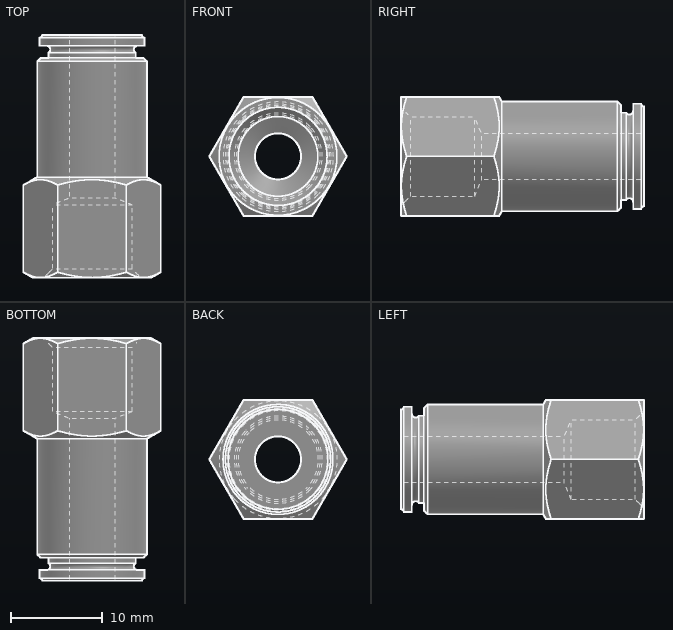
import cadquery as cq
import math


overall_length = 26.5
hex_length = 11.0
body_end = 24.0
collar_thickness = 1.2
groove_width = 0.75

hex_across_flats = 13.0
hex_face_diameter = 12.85
hex_chamfer_angle = 30.0
hex_side_count = 6

body_diameter = 12.0
body_chamfer = 0.4
neck_diameter = 9.55
groove_radius = 0.4
collar_diameter = 11.5
collar_edge_radius = 0.3

socket_diameter = 8.7
socket_mouth_diameter = 10.7
socket_mouth_depth = 1.0
socket_depth = 8.0
through_diameter = 5.0
socket_floor_angle = 136.0

hex_across_corners = hex_across_flats / math.cos(math.pi / hex_side_count)
hex_corner_radius = hex_across_corners / 2
body_radius = body_diameter / 2
neck_radius = neck_diameter / 2
collar_radius = collar_diameter / 2
collar_start = overall_length - collar_thickness
groove_start = collar_start - groove_width


def revolve_about_y(profile):
    """Turn a closed (radius, length) profile around the Y axis."""
    return profile.close().revolve(360, (0, 0, 0), (0, 1, 0))


def make_hexagon():
    """Hexagon with corners on the X axis and conical chamfers at both ends."""
    prism = (
        cq.Workplane("XZ")
        .polygon(hex_side_count, hex_across_corners)
        .extrude(-hex_length)
    )
    face_radius = hex_face_diameter / 2
    slope = math.tan(math.radians(hex_chamfer_angle))
    front_chamfer = (hex_corner_radius - face_radius) * slope
    rear_chamfer = (hex_corner_radius - body_radius) * slope
    envelope = revolve_about_y(
        cq.Workplane("XY")
        .lineTo(face_radius, 0)
        .lineTo(hex_corner_radius, front_chamfer)
        .lineTo(hex_corner_radius, hex_length - rear_chamfer)
        .lineTo(body_radius, hex_length)
        .lineTo(0, hex_length)
    )
    return prism.intersect(envelope)


def make_body():
    """Round body from inside the hexagon, then the neck, an arc groove and the collar."""
    start = hex_length / 2
    below_center = groove_width - groove_radius
    arc_center = neck_radius + math.sqrt(groove_radius**2 - below_center**2)
    arc_bottom = (arc_center - groove_radius, collar_start - groove_radius)
    return revolve_about_y(
        cq.Workplane("XY")
        .moveTo(0, start)
        .lineTo(body_radius, start)
        .lineTo(body_radius, body_end - body_chamfer)
        .lineTo(body_radius - body_chamfer, body_end)
        .lineTo(neck_radius, body_end)
        .lineTo(neck_radius, groove_start)
        .threePointArc(arc_bottom, (arc_center, collar_start))
        .lineTo(collar_radius, collar_start)
        .lineTo(collar_radius, overall_length - collar_edge_radius)
        .radiusArc((collar_radius - collar_edge_radius, overall_length), collar_edge_radius)
        .lineTo(0, overall_length)
    )


def make_bore():
    """Socket with a flared mouth and a conical floor, leading into the through hole."""
    socket_radius = socket_diameter / 2
    through_radius = through_diameter / 2
    floor_depth = (socket_radius - through_radius) / math.tan(math.radians(socket_floor_angle / 2))
    return revolve_about_y(
        cq.Workplane("XY")
        .lineTo(socket_mouth_diameter / 2, 0)
        .lineTo(socket_radius, socket_mouth_depth)
        .lineTo(socket_radius, socket_depth)
        .lineTo(through_radius, socket_depth + floor_depth)
        .lineTo(through_radius, overall_length)
        .lineTo(0, overall_length)
    )


result = make_hexagon().union(make_body()).cut(make_bore())